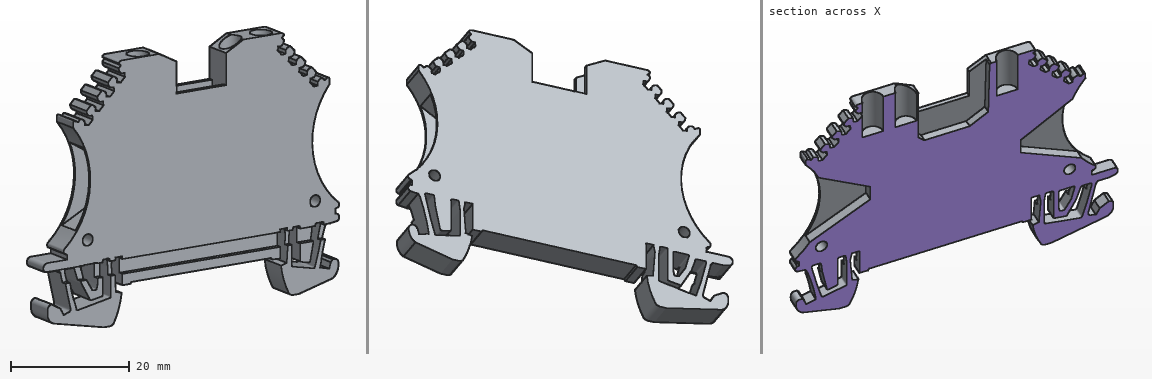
import math

import cadquery as cq


thickness = 5.1
top_z = 46.25 / 2
foot_bottom_z = -top_z
half_length = 30.0
axis_y = 2.05

notch_half = 5.0
notch_z = 15.65
top_chamfer_run = 3.45
top_chamfer_drop = 1.85
belly_z = -16.0
rib_bottom_z = -16.3
rib_inner = 14.4
rib_outer = 16.0
rib_slant = 0.25
leg_root_z = -11.2
side_recess_radius = 14.9
side_recess_reach = 22.5
side_recess_z = 3.15
side_recess_top_angle = 40
shoulder_reach = half_length - axis_y
shoulder_radius = 0.55
groove_reach = 27.2
groove_top_z = -9.35
groove_bottom_z = -10.15
lower_shoulder_z = -10.85
lower_shoulder_half = 0.65
lower_shoulder_round = 0.4
pin_hole_diameter = 2.05
pin_hole_reach = 23.05
pin_hole_z = -7.3

rack_floor = 25.2
neck_level = 25.75
head_level = 26.25
rack_face = 27.3
tooth_pitch = 3.075
first_tooth = -4.22
tooth_count = 5
head_half = 0.92
neck_half = 0.5
face_half = 0.63
top_lip = [(16.1, top_z), (16.58, 22.97), (16.78, 22.7)]
side_lip = [(25.6, 13.95), (25.9, 13.85)]
side_lip_z = 13.6

screw_diameter = 3.85
screw_x = 0.36
screw_depth = 8.0
screw_ys = (15.55, 9.4, -9.4)
entry_width = 4.2
entry_top_z = 8.85
entry_bottom_z = -5.45
entry_end_top_z = 3.0
entry_end_bottom_z = 0.15
entry_end_reach = 14.0

slot_width = 3.45
slot_floor_z = 10.0
slot_floor_y = (-2.4, 6.0)
slot_step_y = -5.85
slot_step_rise = 2.0
slot_end_y = -6.1

clearance_depth = 0.95
clearance_z = (-14.3, -11.7)

foot_overlap_z = -10.6
sole_reach = 19.75
leg_slot_inner = 18.6
leg_slot_outer = 20.0
leg_slot_bottom_z = -18.1
leg_slot_round = 0.3
leg_bend = 0.25
leg_bend_z = -13.0
tab_bottom_z = -12.1
tab_radius = 0.87
window_inner = 21.05
window_top_z = -11.6
window_bottom_z = -16.3
window_round = 0.2
leg_slot_start = [
    (leg_slot_inner, leg_root_z),
    (leg_slot_inner - leg_bend, leg_bend_z),
    (leg_slot_inner - leg_bend, leg_slot_bottom_z),
]


def extruded(outline, width=thickness):
    """Thicken a closed YZ outline evenly about X = 0."""
    return outline.extrude(width / 2, both=True)


def plate(points, width=thickness):
    return extruded(cq.Workplane("YZ").polyline(points).close(), width)


def rounded_plate(points, radius):
    return plate(points).edges("|X").fillet(radius)


def both_sides(half):
    return half.union(half.mirror("XZ"))


def on_circle(center, radius, degrees):
    angle = math.radians(degrees)
    return (center[0] + radius * math.cos(angle), center[1] + radius * math.sin(angle))


def rack_point(along, out):
    """Turn rack coordinates (down the slope, out of the slope) into (reach, height)."""
    return ((along + out) / math.sqrt(2), (out - along) / math.sqrt(2))


def recess_circle(radius, degrees):
    """Point about the side recess axis, at an angle above the deepest point of the recess."""
    center = (side_recess_reach + side_recess_radius, side_recess_z)
    return on_circle(center, radius, 180 - degrees)


def housing_half():
    last_tooth = first_tooth + (tooth_count - 1) * tooth_pitch
    tip = recess_circle(side_recess_radius, side_recess_top_angle)

    center_distance = side_recess_radius + shoulder_radius
    center_offset = side_recess_reach + center_distance - shoulder_reach
    end_angle = math.degrees(math.acos(center_offset / center_distance))
    recess_end = recess_circle(side_recess_radius, -end_angle)
    shoulder_center = recess_circle(center_distance, -end_angle)

    def shoulder_at(degrees):
        return on_circle(shoulder_center, shoulder_radius, degrees)

    outline = (
        cq.Workplane("YZ")
        .moveTo(0, notch_z)
        .lineTo(notch_half, notch_z)
        .lineTo(notch_half, top_z - top_chamfer_drop)
        .lineTo(notch_half + top_chamfer_run, top_z)
        .lineTo(*top_lip[0])
        .threePointArc(*top_lip[1:])
        .lineTo(*rack_point(first_tooth, rack_face))
        .lineTo(*rack_point(first_tooth, rack_floor))
        .lineTo(*rack_point(last_tooth, rack_floor))
        .lineTo(*rack_point(last_tooth, rack_face))
        .lineTo(*side_lip[0])
        .threePointArc(side_lip[1], (tip[0], side_lip_z))
        .lineTo(*tip)
        .threePointArc(recess_circle(side_recess_radius, 0), recess_end)
        .threePointArc(shoulder_at(0), shoulder_at(-90))
        .lineTo(groove_reach, groove_top_z)
        .lineTo(groove_reach, leg_root_z)
        .lineTo(rib_outer, leg_root_z)
        .lineTo(rib_outer, rib_bottom_z)
        .lineTo(rib_inner, rib_bottom_z)
        .lineTo(rib_inner - rib_slant, belly_z)
        .lineTo(0, belly_z)
        .close()
    )
    half = extruded(outline)
    for index in range(tooth_count):
        half = half.union(tooth(first_tooth + index * tooth_pitch))
    pin_circle = cq.Workplane("YZ").center(pin_hole_reach, pin_hole_z).circle(pin_hole_diameter / 2)
    pin_hole = extruded(pin_circle)
    return half.cut(pin_hole)


def tooth(along):
    def at(offset, out):
        return rack_point(along + offset, out)

    bulge = (head_half, (head_level + rack_face) / 2)
    return extruded(
        cq.Workplane("YZ")
        .moveTo(*at(-head_half, rack_floor))
        .lineTo(*at(-neck_half, neck_level))
        .lineTo(*at(-head_half, head_level))
        .threePointArc(at(-bulge[0], bulge[1]), at(-face_half, rack_face))
        .lineTo(*at(face_half, rack_face))
        .threePointArc(at(*bulge), at(head_half, head_level))
        .lineTo(*at(neck_half, neck_level))
        .lineTo(*at(head_half, rack_floor))
        .close()
    )


def wire_entry():
    mouth = side_recess_reach + side_recess_radius

    def mouth_reach(z):
        return mouth - math.sqrt(side_recess_radius**2 - (z - side_recess_z) ** 2)

    return plate(
        [
            (entry_end_reach, entry_end_bottom_z),
            (mouth_reach(entry_bottom_z), entry_bottom_z),
            (mouth, entry_bottom_z),
            (mouth, entry_top_z),
            (mouth_reach(entry_top_z), entry_top_z),
            (entry_end_reach, entry_end_top_z),
        ],
        entry_width,
    )


def foot_start():
    """Run shared by both feet: inner spring leg, heel and sole, up to the end of the sole."""
    return (
        cq.Workplane("YZ")
        .moveTo(17.4, foot_overlap_z)
        .lineTo(17.4, -11.4)
        .lineTo(17.65, -12.6)
        .lineTo(17.3, -17.3)
        .lineTo(16.15, -17.6)
        .threePointArc((16.7, -20.2), (17.75, -22.7))
        .threePointArc((18.1, -23.0), (18.6, foot_bottom_z))
        .lineTo(sole_reach, foot_bottom_z)
    )


def fixed_foot():
    nose_reach = shoulder_reach - lower_shoulder_round
    nose_top = (nose_reach, lower_shoulder_z + lower_shoulder_half)
    nose_bottom = (nose_reach, lower_shoulder_z - lower_shoulder_half)
    body = extruded(
        foot_start()
        .lineTo(26.6, -21.4)
        .threePointArc((27.6, -20.2), (27.8, -18.9))
        .threePointArc((27.65, -18.35), (27.2, -18.05))
        .lineTo(26.6, -18.05)
        .lineTo(26.25, -18.5)
        .lineTo(25.9, -19.6)
        .lineTo(24.1, -19.15)
        .threePointArc((24.75, -15.7), (25.75, -12.2))
        .lineTo(26.1, -11.65)
        .lineTo(*nose_bottom)
        .threePointArc((shoulder_reach, lower_shoulder_z), nose_top)
        .lineTo(groove_reach, groove_bottom_z)
        .lineTo(groove_reach, foot_overlap_z)
        .close()
    )
    slot = [
        *leg_slot_start,
        (22.95, -19.1),
        (23.8, -16.0),
        (24.9, leg_root_z),
        (23.15, leg_root_z),
        (22.9, -13.4),
        (22.0, -17.95),
        (leg_slot_outer, -17.5),
        (leg_slot_outer, leg_root_z),
    ]
    return body.cut(rounded_plate(slot, leg_slot_round))


def release_foot():
    tab_reach = half_length + axis_y
    tab_center = (tab_reach - tab_radius, groove_bottom_z - tab_radius)

    def tab_nose(degrees):
        return on_circle(tab_center, tab_radius, degrees)

    body = extruded(
        foot_start()
        .lineTo(30.0, -20.95)
        .threePointArc((30.95, -20.1), (31.2, -19.0))
        .lineTo(31.2, -18.25)
        .threePointArc((30.9, -17.75), (30.3, -17.5))
        .lineTo(28.6, -18.5)
        .lineTo(27.9, -19.75)
        .lineTo(26.95, -19.4)
        .threePointArc((26.6, -19.2), (26.53, -18.8))
        .threePointArc((27.2, -15.9), (27.95, -12.6))
        .lineTo(28.3, tab_bottom_z)
        .lineTo(30.3, tab_bottom_z)
        .lineTo(*tab_nose(-75))
        .threePointArc(tab_nose(0), tab_nose(90))
        .lineTo(groove_reach, groove_bottom_z)
        .lineTo(groove_reach, foot_overlap_z)
        .close()
    )
    slot = [
        *leg_slot_start,
        (25.25, -19.35),
        (26.2, -16.2),
        (27.2, tab_bottom_z),
        (25.2, tab_bottom_z),
        (24.3, -14.8),
        (22.5, -18.0),
        (leg_slot_outer, -17.6),
        (leg_slot_outer, leg_root_z),
    ]
    window = [
        (window_inner, window_top_z),
        (24.0, window_top_z),
        (23.3, -14.3),
        (22.05, window_bottom_z),
        (window_inner + 0.2, window_bottom_z),
        (window_inner, -15.4),
    ]
    return body.cut(rounded_plate(slot, leg_slot_round)).cut(rounded_plate(window, window_round))


def screw_holes():
    return (
        cq.Workplane("XY", origin=(0, 0, top_z))
        .pushPoints([(screw_x, y) for y in screw_ys])
        .circle(screw_diameter / 2)
        .extrude(-screw_depth)
    )


def jumper_slot():
    floor_start, floor_end = slot_floor_y
    wall_y = axis_y + notch_half
    end_chamfer = wall_y - floor_end
    return plate(
        [
            (floor_start, slot_floor_z),
            (floor_end, slot_floor_z),
            (wall_y, slot_floor_z + end_chamfer),
            (wall_y, top_z),
            (slot_end_y, top_z),
            (slot_step_y, slot_floor_z + slot_step_rise),
        ],
        slot_width,
    )


def side_clearance():
    low, high = clearance_z
    start_x = thickness / 2 - clearance_depth
    return cq.Workplane("XY", origin=(start_x, 0, low)).box(
        clearance_depth,
        2 * half_length,
        high - low,
        centered=(False, True, False),
    )


body = both_sides(housing_half())
body = body.union(fixed_foot()).union(release_foot().mirror("XZ"))
body = body.cut(both_sides(wire_entry()))
body = body.translate((0, axis_y, 0))
result = body.cut(screw_holes()).cut(jumper_slot()).cut(side_clearance())